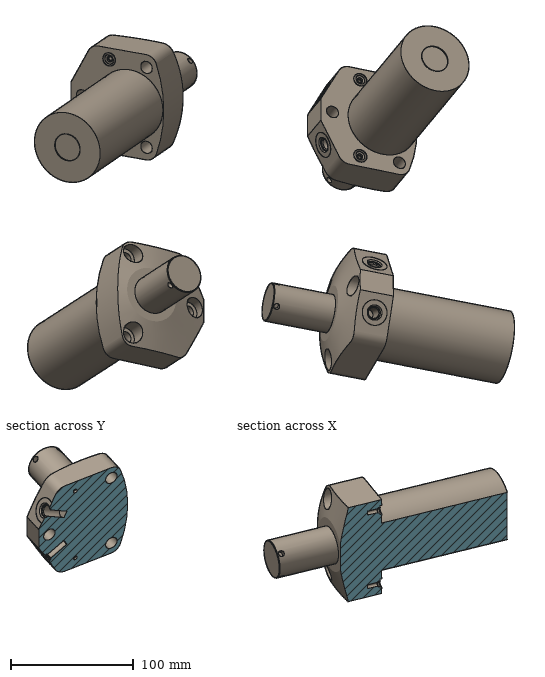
import cadquery as cq
import math


total_length = 201.8
flange_thickness = 37.0
piston_length = 52.7
body_length = total_length - flange_thickness - piston_length
piston_tip_y = flange_thickness + piston_length

body_radius = 30.0
end_recess_radius = 11.5
end_recess_depth = 1.0
piston_radius = 16.0
piston_chamfer = 0.6
spanner_hole_count = 4
spanner_hole_radius = 2.5
spanner_hole_depth = 5.0
spanner_hole_setback = 3.8

flange_half_height = 45.8
flange_left = -54.0
flange_right = 30.9
flange_corner_radius = 10.0
left_flat_half_height = 10.0
left_corner_x = -35.1
right_arc_radius = 116.0

crown_radius = 23.0
crown_slope = math.radians(15)

mount_hole_radius = 5.2
mount_counterbore_radius = 8.5
mount_counterbore_floor_y = 20.2
mount_hole_centers = [(-43.8, 0), (15.1, 34.7), (15.1, -34.7)]

port_y = 13.5
port_z = 24.5
spotface_radius = 10.5
spotface_depth = 0.2
port_mouth_radius = 6.3
port_relief_radius = 5.2
port_relief_depth = 2.2
port_bore_radius = 4.5
port_depth = 20.2

seal_x = -19.2
seal_z = 35.7
seal_pocket_radius = 5.7
seal_cord_radius = 0.9
seal_protrusion = 0.6
seal_bite = 0.1
seal_ring_radius = seal_pocket_radius - seal_cord_radius + seal_bite
seal_pocket_depth = 2 * seal_cord_radius - seal_protrusion - seal_bite
seal_hole_radius = 2.5
seal_hole_depth = 3.0
oil_hole_radius = 1.6
oil_hole_depth = 12.1


def y_cylinder(radius, start_y, length, x=0, z=0):
    """Cylinder along +Y that starts at start_y."""
    return cq.Workplane("XY").add(
        cq.Solid.makeCylinder(radius, length, cq.Vector(x, start_y, z), cq.Vector(0, 1, 0))
    )


def make_flange():
    """Rounded plate, trimmed by a cone so that its front face slopes away from the crown."""
    arc_center_x = flange_right - right_arc_radius
    right_corner_x = arc_center_x + math.sqrt(right_arc_radius**2 - flange_half_height**2)
    plate = (
        cq.Workplane("XZ")
        .moveTo(flange_left, -left_flat_half_height)
        .lineTo(left_corner_x, -flange_half_height)
        .lineTo(right_corner_x, -flange_half_height)
        .threePointArc((flange_right, 0), (right_corner_x, flange_half_height))
        .lineTo(left_corner_x, flange_half_height)
        .lineTo(flange_left, left_flat_half_height)
        .close()
        .extrude(-flange_thickness)
    )
    plate = plate.edges("|Y").edges(">Z or <Z").fillet(flange_corner_radius)

    outer_radius = 2 * flange_half_height
    cone_drop = (outer_radius - crown_radius) * math.tan(crown_slope)
    cone_envelope = (
        cq.Workplane("XY")
        .moveTo(0, 0)
        .lineTo(outer_radius, 0)
        .lineTo(outer_radius, flange_thickness - cone_drop)
        .lineTo(crown_radius, flange_thickness)
        .lineTo(0, flange_thickness)
        .close()
        .revolve(360, (0, 0, 0), (0, 1, 0))
    )
    return plate.intersect(cone_envelope)


def make_body():
    """Main cylinder with a shallow round recess in its end."""
    body = y_cylinder(body_radius, -body_length, body_length)
    return body.cut(y_cylinder(end_recess_radius, -body_length, end_recess_depth))


def make_piston():
    """Piston rod with radial spanner holes near its tip."""
    piston = y_cylinder(piston_radius, flange_thickness, piston_length)
    piston = piston.faces(">Y").chamfer(piston_chamfer)
    floor_radius = piston_radius - spanner_hole_depth
    for index in range(spanner_hole_count):
        angle = 2 * math.pi * (index + 0.5) / spanner_hole_count
        outward = cq.Vector(math.cos(angle), 0, math.sin(angle))
        start = outward * floor_radius + cq.Vector(0, piston_tip_y - spanner_hole_setback, 0)
        piston = piston.cut(
            cq.Workplane("XY").add(
                cq.Solid.makeCylinder(spanner_hole_radius, 2 * spanner_hole_depth, start, outward)
            )
        )
    return piston


def make_mount_hole_cutter(x, z):
    """Through hole with a counterbore for the screw head, opening on the conical side."""
    counterbore_depth = flange_thickness - mount_counterbore_floor_y
    counterbore = y_cylinder(
        mount_counterbore_radius, mount_counterbore_floor_y, counterbore_depth, x, z
    )
    return y_cylinder(mount_hole_radius, 0, flange_thickness, x, z).union(counterbore)


def make_port_cutter(side):
    """Spotface, chamfered mouth, relief and bore of one port; side is +1 or -1 along Z."""
    face_run = left_corner_x - flange_left
    face_rise = flange_half_height - left_flat_half_height
    port_x = flange_left + (port_z - left_flat_half_height) * face_run / face_rise
    inward = (face_rise, 0, -side * face_run)
    axis_plane = cq.Plane(
        origin=(port_x, port_y, side * port_z),
        xDir=(0, 1, 0),
        normal=cq.Vector(0, 1, 0).cross(cq.Vector(*inward)).toTuple(),
    )
    mouth_end = spotface_depth + port_mouth_radius - port_relief_radius
    relief_end = port_relief_depth + port_relief_radius - port_bore_radius
    return (
        cq.Workplane(axis_plane)
        .lineTo(spotface_radius, 0)
        .lineTo(spotface_radius, spotface_depth)
        .lineTo(port_mouth_radius, spotface_depth)
        .lineTo(port_relief_radius, mouth_end)
        .lineTo(port_relief_radius, port_relief_depth)
        .lineTo(port_bore_radius, relief_end)
        .lineTo(port_bore_radius, port_depth)
        .lineTo(0, port_depth)
        .close()
        .revolve(360, (0, 0, 0), (0, 1, 0))
    )


def make_seal_cutter(side):
    """Round seal pocket with a stepped oil hole at its center."""
    z = side * seal_z
    pocket = y_cylinder(seal_pocket_radius, 0, seal_pocket_depth, seal_x, z)
    hole = y_cylinder(seal_hole_radius, 0, seal_hole_depth, seal_x, z)
    oil_hole = y_cylinder(oil_hole_radius, 0, oil_hole_depth, seal_x, z)
    return pocket.union(hole).union(oil_hole)


def make_seal(side):
    """O-ring that stands slightly proud of the seating face."""
    center = cq.Vector(seal_x, seal_cord_radius - seal_protrusion, side * seal_z)
    return cq.Workplane("XY").add(
        cq.Solid.makeTorus(seal_ring_radius, seal_cord_radius, center, cq.Vector(0, 1, 0))
    )


result = make_flange().union(make_body()).union(make_piston())

for hole_x, hole_z in mount_hole_centers:
    result = result.cut(make_mount_hole_cutter(hole_x, hole_z))

for side in (1, -1):
    result = result.cut(make_port_cutter(side))
    result = result.cut(make_seal_cutter(side))
    result = result.union(make_seal(side))